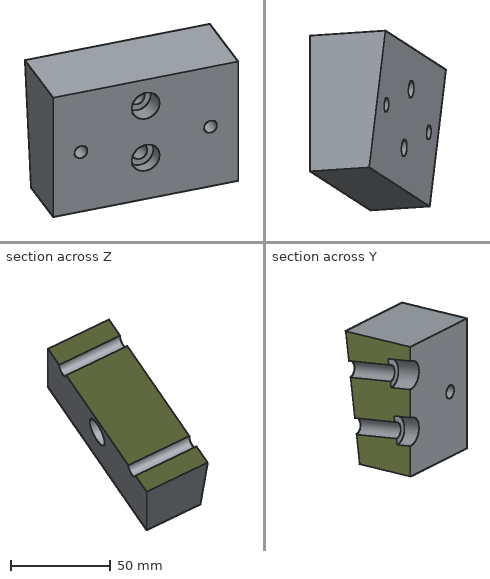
import cadquery as cq
import math

depth_top = 40.0
length = 100.0
height = 70.0
slope_angle = 7.0

level_hole_diameter = 7.0
level_hole_spacing = 70.0

tilted_hole_diameter = 8.5
tilted_hole_spacing = 30.0
plain_bore_depth = 25.0
counterbore_diameter = 15.0

slope = math.tan(math.radians(slope_angle))
overrun = 10.0
cutter_length = depth_top + 2 * overrun


def sloped_face_x(z):
    """X of the sloped face at height z, measured from the block's mid height."""
    return slope * (height / 2 - z)


def wedge_block():
    """Block whose -X face leans outward towards the top."""
    half_height = height / 2
    profile = [
        (sloped_face_x(-half_height), -half_height),
        (depth_top, -half_height),
        (depth_top, half_height),
        (sloped_face_x(half_height), half_height),
    ]
    return cq.Workplane("XZ").polyline(profile).close().extrude(length / 2, both=True)


def hole_cutter(diameter, y, z, direction, start_depth):
    """Cylinder along direction, starting start_depth beyond its mouth on the sloped face at (y, z)."""
    mouth = cq.Vector(sloped_face_x(z), y, z)
    start = mouth + direction.normalized() * start_depth
    return cq.Solid.makeCylinder(diameter / 2, cutter_length, start, direction)


def level_hole(y):
    """Plain through hole at mid height."""
    level_direction = cq.Vector(1, 0, 0)
    return hole_cutter(level_hole_diameter, y, 0, level_direction, -overrun)


def tilted_hole(z):
    """Through hole square to the sloped face, counterbored from the +X side."""
    square_to_slope = cq.Vector(1, 0, slope)
    bore = hole_cutter(tilted_hole_diameter, 0, z, square_to_slope, -overrun)
    counterbore = hole_cutter(counterbore_diameter, 0, z, square_to_slope, plain_bore_depth)
    return bore.fuse(counterbore)


result = wedge_block()
for side in (-1, 1):
    result = result.cut(level_hole(side * level_hole_spacing / 2))
    result = result.cut(tilted_hole(side * tilted_hole_spacing / 2))